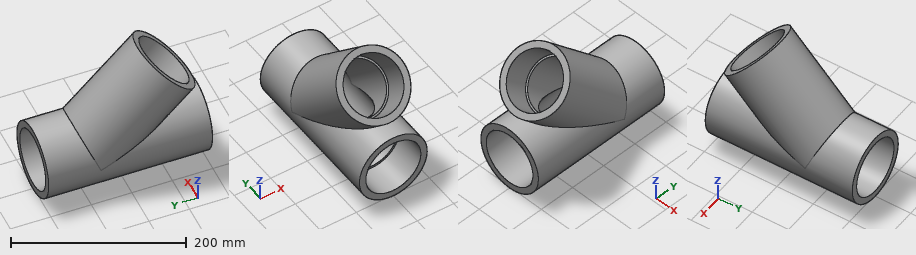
import cadquery as cq
import math

run_length = 202.5
outer_diameter = 93.0
socket_diameter = 75.3
bore_diameter = 70.0
socket_depth = 44.0
branch_angle = 45.0
branch_length = 137.5
crossing_to_back = 64.8

back_y = crossing_to_back
front_y = crossing_to_back - run_length
crossing = cq.Vector(0, 0, 0)
toward_back = cq.Vector(0, 1, 0)
toward_front = cq.Vector(0, -1, 0)
angle = math.radians(branch_angle)
branch_direction = cq.Vector(0, -math.cos(angle), math.sin(angle))


def cylinder(diameter, length, start, direction):
    return cq.Workplane(obj=cq.Solid.makeCylinder(diameter / 2, length, start, direction))


def socket(end_center, outward):
    """Counterbore reaching inward from an end face."""
    return cylinder(socket_diameter, socket_depth, end_center, outward * -1)


run_start = cq.Vector(0, front_y, 0)
run_end = cq.Vector(0, back_y, 0)
branch_end = branch_direction * branch_length

body = cylinder(outer_diameter, run_length, run_start, toward_back)
body = body.union(cylinder(outer_diameter, branch_length, crossing, branch_direction))

body = body.cut(cylinder(bore_diameter, run_length, run_start, toward_back))
body = body.cut(cylinder(bore_diameter, branch_length, crossing, branch_direction))

for end_center, outward in [
    (run_start, toward_front),
    (run_end, toward_back),
    (branch_end, branch_direction),
]:
    body = body.cut(socket(end_center, outward))

result = body